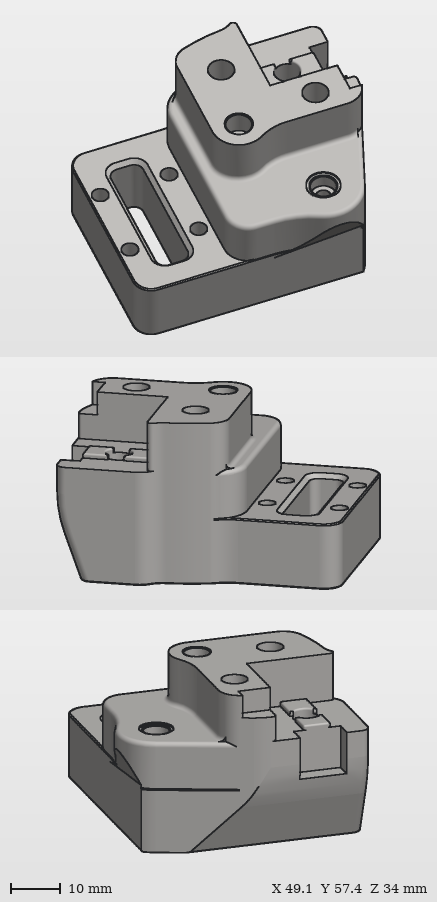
import cadquery as cq
import math

plate_top = 13.7
shelf_top = 23.65
pocket_floor = 23.9
tower_top = 34.0

back_y = 57.4
left_wall_start = (0.0, 40.75)
shoulder_arcs = [(4.0, 44), (5.0, 5), (36.75, 19)]
corner_radius = 4.35
corner_exit = 30
plate_blend_radius = 9.2
shelf_start = 22

plate_right = 46.0
plate_corner = 3.95
lobe_center = (40.6, 42.1)
lobe_radius = 8.45
lobe_blend_radius = 20.0
slant = math.radians(20)
back_bend_radius = 10.0

shelf_front = 20.3
shelf_left_corner = 7.0
shelf_right_corner = 5.0
rim_radius = 1.0

tower_right = 30.55
tower_lobe_x = 27.45
tower_lobe_radius = 5.75
tower_blend_radius = 11.5
tower_back_corner = 4.6

lean = math.radians(20)
lean_start = 18.25
lean_radius = 24.7
back_left_corner = 2.0

taper_start = 20.15
taper_end = 13.7
taper_skew = 2.5
bottom_chamfer = 0.25
plate_chamfer = 0.3

pocket_right = 20.15
pocket_front = 38.75
pocket_front_round = 0.85
pocket_back_round = 0.75
notch_front = 53.4
low_notch_x = (5.1, 15.1)
low_notch_floor = 14.9
high_notch_right = 26.9
high_notch_floor = 29.15
ridge_width = 5.75
ridge_height = 1.0
ridge_round = 0.4
ridge_gap = 3.35

main_hole_diameter = 5.4
main_holes = [(10.1, 46.5), (25.35, 46.5), (12.5, 31.15)]
screw_hole_diameter = 3.0
head_diameter = 5.35
head_chamfer = 0.25
lobe_head_depth = 3.0
tower_head_depth = 5.0
spotface_diameter = 7.0
spotface_depth = 0.3
plate_hole_diameter = 3.5
plate_hole_pitch = (15.95, 15.0)
slot_size = (27.95, 7.0)
slot_corner = 2.0
slot_chamfer = 1.0
slot_y = 10.1


def turn(start, radius, heading_from, heading_to):
    """End point of an arc that turns from one heading to another."""
    a = math.radians(heading_from)
    b = math.radians(heading_to)
    side = 1 if heading_to > heading_from else -1
    return (
        start[0] + side * radius * (math.cos(a) - math.cos(b)),
        start[1] - side * radius * (math.sin(b) - math.sin(a)),
    )


def wall_to_lobe(wall_x, center, radius, blend, side):
    """Tangent points of the hollow arc joining a wall along Y to a round lobe.

    The wall lies behind the lobe when side is 1 and in front of it when side is -1.
    """
    reach = wall_x + blend - center[0]
    shift = side * math.sqrt((radius + blend) ** 2 - reach**2)
    share = radius / (radius + blend)
    wall_point = (wall_x, center[1] + shift)
    lobe_point = (center[0] + reach * share, center[1] + shift * share)
    return wall_point, lobe_point


def box(x, y, z):
    """Box from (low, high) pairs."""
    size = [high - low for low, high in (x, y, z)]
    return cq.Workplane("XY").box(*size, centered=False).translate((x[0], y[0], z[0]))


def drill(diameter, points, z_from, z_to=tower_top + 0.6):
    return (
        cq.Workplane("XY", origin=(0, 0, z_from))
        .pushPoints(points)
        .circle(diameter / 2)
        .extrude(z_to - z_from)
    )


wall_points = [left_wall_start]
heading = 0
for arc_radius, next_heading in shoulder_arcs:
    wall_points.append(turn(wall_points[-1], arc_radius, heading, next_heading))
    heading = next_heading
corner_start = wall_points[-1]
corner_leave = turn(corner_start, corner_radius, heading, corner_exit)
corner_end = turn(corner_start, corner_radius, heading, 90)
plate_left_top = turn(corner_leave, plate_blend_radius, corner_exit, 0)
plate_left = plate_left_top[0]
tower_front = corner_end[1]
tower_lobe_center = (tower_lobe_x, tower_front + tower_lobe_radius)
plate_center_x = (plate_left + plate_right) / 2

lobe_wall_point, lobe_side_point = wall_to_lobe(
    plate_right, lobe_center, lobe_radius, lobe_blend_radius, side=-1
)
lobe_back_point = (
    lobe_center[0] + lobe_radius * math.sin(slant),
    lobe_center[1] + lobe_radius * math.cos(slant),
)


def slant_y(x):
    return lobe_back_point[1] + (lobe_back_point[0] - x) * math.tan(slant)


bend_x = lobe_back_point[0] - (back_y - lobe_back_point[1]) / math.tan(slant)
bend_reach = back_bend_radius * math.tan(slant / 2)
bend_start = (bend_x + bend_reach * math.cos(slant), back_y - bend_reach * math.sin(slant))
bend_end = (bend_x - bend_reach, back_y)


def left_wall():
    """Outline begun at the back-left corner and run down to the tower corner."""
    outline = cq.Workplane("XY").moveTo(0, back_y).lineTo(*left_wall_start)
    for point in wall_points[1:]:
        outline = outline.tangentArcPoint(point, relative=False)
    return outline


def close_at_back(outline):
    """Finish an outline along the slanted wall and the back."""
    return outline.lineTo(*bend_start).tangentArcPoint(bend_end, relative=False).close()


def close_round_lobe(outline):
    outline = (
        outline.lineTo(*lobe_wall_point)
        .tangentArcPoint(lobe_side_point, relative=False)
        .tangentArcPoint(lobe_back_point, relative=False)
    )
    return close_at_back(outline)


def make_lower_body():
    outline = (
        left_wall()
        .tangentArcPoint(corner_leave, relative=False)
        .tangentArcPoint(plate_left_top, relative=False)
        .lineTo(plate_left, 0)
        .lineTo(plate_right, 0)
    )
    body = close_round_lobe(outline).extrude(plate_top)
    front_corners = cq.selectors.BoxSelector((0, -0.6, 0), (back_y, 0.6, plate_top))
    body = body.edges(front_corners).edges("|Z").fillet(plate_corner)
    front = cq.selectors.BoxSelector((0, -0.6, plate_top - 0.6), (back_y, shelf_front, plate_top + 0.6))
    return body.faces(">Z").edges(front).chamfer(plate_chamfer)


def make_shelf():
    """Shelf under the lobe; its inner sides lie hidden inside the tower."""
    blend_leave = turn(corner_leave, plate_blend_radius, corner_exit, shelf_start)
    blend_middle = turn(corner_leave, plate_blend_radius, corner_exit, (corner_exit + shelf_start) / 2)
    rise = blend_leave[1] - shelf_front
    sweep = math.acos(1 - rise / shelf_left_corner)
    center_x = blend_leave[0] + shelf_left_corner * math.sin(sweep)
    arc_middle = (
        center_x - shelf_left_corner * math.sin(sweep / 2),
        shelf_front + shelf_left_corner * (1 - math.cos(sweep / 2)),
    )
    outline = (
        cq.Workplane("XY", origin=(0, 0, plate_top))
        .moveTo(*corner_leave)
        .threePointArc(blend_middle, blend_leave)
        .threePointArc(arc_middle, (center_x, shelf_front))
        .lineTo(plate_right - shelf_right_corner, shelf_front)
        .tangentArcPoint((plate_right, shelf_front + shelf_right_corner), relative=False)
        .lineTo(*lobe_wall_point)
        .tangentArcPoint(lobe_side_point, relative=False)
        .tangentArcPoint(lobe_back_point, relative=False)
        .lineTo(*bend_start)
        .lineTo(bend_start[0], tower_lobe_center[1])
        .close()
    )
    shelf = outline.extrude(shelf_top - plate_top)
    return shelf.faces(">Z").edges(">X").fillet(rim_radius)


def make_tower():
    wall_point, lobe_point = wall_to_lobe(
        tower_right, tower_lobe_center, tower_lobe_radius, tower_blend_radius, side=1
    )
    lobe_front = (tower_lobe_center[0], tower_front)
    reach = tower_back_corner * math.tan((math.pi / 2 - slant) / 2)
    corner_y = slant_y(tower_right)
    slant_point = (tower_right - reach * math.cos(slant), corner_y + reach * math.sin(slant))
    outline = (
        left_wall()
        .tangentArcPoint(corner_end, relative=False)
        .lineTo(*lobe_front)
        .tangentArcPoint(lobe_point, relative=False)
        .tangentArcPoint(wall_point, relative=False)
        .lineTo(tower_right, corner_y - reach)
        .tangentArcPoint(slant_point, relative=False)
    )
    return close_at_back(outline).extrude(tower_top)


def make_foot(tower, shelf):
    """Hollow round where the tower rises from the flat top of the shelf."""
    margin = 5.75
    ground = box((-margin, 57.4), (-margin, back_y + margin), (shelf_top - 0.6, shelf_top))
    tower_foot = cq.selectors.BoxSelector(
        (-0.6, tower_front - 0.6, shelf_top - 0.05), (tower_right + margin, back_y + 0.6, shelf_top + 0.05)
    )
    flared = ground.union(tower).edges(tower_foot).fillet(rim_radius)
    flat_top = shelf.faces(">Z").wires().toPending().extrude(rim_radius + 0.6)
    return flared.intersect(flat_top)


def back_lean_cut():
    """Removes what lies behind the back wall, upright above and leaning inwards below."""
    arc_end = (
        back_y - lean_radius * (1 - math.cos(lean)),
        lean_start - lean_radius * math.sin(lean),
    )
    foot_y = arc_end[0] - arc_end[1] * math.tan(lean)
    margin = 0.6
    return (
        cq.Workplane("YZ", origin=(-margin, 0, 0))
        .moveTo(back_y, lean_start + margin)
        .lineTo(back_y, lean_start)
        .tangentArcPoint(arc_end, relative=False)
        .lineTo(foot_y, 0)
        .lineTo(foot_y, -margin)
        .lineTo(back_y + margin, -margin)
        .lineTo(back_y + margin, lean_start + margin)
        .close()
        .extrude(57.4)
    )


def lobe_taper_cut():
    """Slopes the underside of the lobe down to the right wall of the plate."""
    lobe_right = lobe_center[0] + lobe_radius
    margin = 2.85
    slope = (taper_start - taper_end) / (lobe_right - plate_right)
    low_x = plate_right - taper_end / slope
    high_z = taper_start + slope * margin
    wedge = (
        cq.Workplane("XZ", origin=(0, lobe_center[1], 0))
        .moveTo(low_x, 0)
        .lineTo(lobe_right + margin, high_z)
        .lineTo(lobe_right + margin, 0)
        .close()
        .extrude(back_y / 2, both=True)
        .rotate((lobe_right, lobe_center[1], 0), (lobe_right, lobe_center[1], 1), taper_skew)
    )
    return wedge.intersect(box((plate_right, lobe_right + 0.6), (lobe_wall_point[1], back_y), (0, shelf_top)))


def make_ridge(hole):
    """Rounded ridge on the pocket floor, parted by a gap at the hole."""
    half = ridge_width / 2
    top = pocket_floor + ridge_height
    buried = pocket_front - ridge_round - 0.6
    ridge = box((hole[0] - half, hole[0] + half), (buried, notch_front), (pocket_floor, top))
    ridge = ridge.cut(drill(main_hole_diameter, [hole], pocket_floor - 0.6))
    ridge = ridge.cut(
        cq.Workplane("XY", origin=(*hole, pocket_floor - 0.6)).rect(2 * ridge_width, ridge_gap).extrude(tower_top)
    )
    return ridge.edges("(|Z and >Y) or >Z").fillet(ridge_round)


def pocket_cut(depth):
    """Open corner of the tower; its front wall is rounded into the hollow arc of the left wall."""
    hollow_radius, hollow_heading = shoulder_arcs[1]
    angle = math.radians(hollow_heading)
    hollow_end = wall_points[2]
    hollow_center = (
        hollow_end[0] - hollow_radius * math.cos(angle),
        hollow_end[1] - hollow_radius * math.sin(angle),
    )
    r = pocket_front_round
    rise = pocket_front - r - hollow_center[1]
    reach = math.sqrt((hollow_radius + r) ** 2 - rise**2)
    share = hollow_radius / (hollow_radius + r)
    round_start = (hollow_center[0] + reach, pocket_front)
    round_end = (hollow_center[0] + reach * share, hollow_center[1] + rise * share)
    margin = 0.6
    return (
        cq.Workplane("XY", origin=(0, 0, pocket_floor))
        .moveTo(pocket_right, back_y + margin)
        .lineTo(pocket_right, pocket_front)
        .lineTo(*round_start)
        .tangentArcPoint(round_end, relative=False)
        .lineTo(-margin, round_end[1])
        .lineTo(-margin, back_y + margin)
        .close()
        .extrude(depth)
    )


def cut_pocket(body):
    high = tower_top + 0.6
    behind = back_y + 0.6
    body = body.cut(pocket_cut(high - pocket_floor))
    back_edge = cq.selectors.NearestToPointSelector((pocket_right, back_y, (pocket_floor + tower_top) / 2))
    body = body.edges("|Z").edges(back_edge).fillet(pocket_back_round)
    body = body.cut(box(low_notch_x, (notch_front, behind), (low_notch_floor, high)))
    return body.cut(box((pocket_right - 0.6, high_notch_right), (notch_front, behind), (high_notch_floor, high)))


def head_bore(center, mouth_z, depth):
    """Bore for a screw head with a chamfered mouth."""
    bore = drill(head_diameter, [center], mouth_z - depth, mouth_z)
    mouth_edge = head_diameter / 2 + head_chamfer
    mouth = cq.Solid.makeCone(mouth_edge - head_chamfer, mouth_edge, head_chamfer)
    return bore.union(cq.Workplane(mouth.translate(cq.Vector(*center, mouth_z - head_chamfer))))


def cut_holes(body):
    body = body.cut(drill(main_hole_diameter, main_holes, -0.6))
    body = body.cut(drill(screw_hole_diameter, [lobe_center, tower_lobe_center], -0.6))
    spotface_z = shelf_top - spotface_depth
    body = body.cut(drill(spotface_diameter, [lobe_center], spotface_z))
    body = body.cut(head_bore(lobe_center, spotface_z, lobe_head_depth))
    body = body.cut(head_bore(tower_lobe_center, tower_top, tower_head_depth))
    corners = (
        cq.Workplane("XY", origin=(plate_center_x, slot_y, -0.6))
        .rarray(*plate_hole_pitch, 2, 2)
        .circle(plate_hole_diameter / 2)
        .extrude(plate_top + 1.15)
    )
    return body.cut(corners)


def cut_slot(body):
    slot = (
        cq.Workplane("XY", origin=(plate_center_x, slot_y, -0.6))
        .rect(*slot_size)
        .extrude(plate_top + 0.6)
        .edges("|Z")
        .fillet(slot_corner)
    )
    body = body.cut(slot)
    rim = cq.selectors.BoxSelector(
        (plate_center_x - slot_size[0] / 2 - 0.6, slot_y - slot_size[1] / 2 - 0.6, plate_top - 0.6),
        (plate_center_x + slot_size[0] / 2 + 0.6, slot_y + slot_size[1] / 2 + 0.6, plate_top + 0.6),
    )
    return body.edges(rim).chamfer(slot_chamfer)


tower = make_tower()
shelf = make_shelf()
body = make_lower_body().union(tower).union(shelf).union(make_foot(tower, shelf))
body = body.cut(back_lean_cut())
back_left_edge = cq.selectors.NearestToPointSelector((0, back_y, tower_top))
body = body.edges("|Z").edges(back_left_edge).fillet(back_left_corner)
body = body.cut(lobe_taper_cut())
body = body.faces("<Z").edges("<Y").chamfer(bottom_chamfer)
body = cut_pocket(body)
body = body.union(make_ridge(main_holes[0]))
body = cut_holes(body)
result = cut_slot(body)